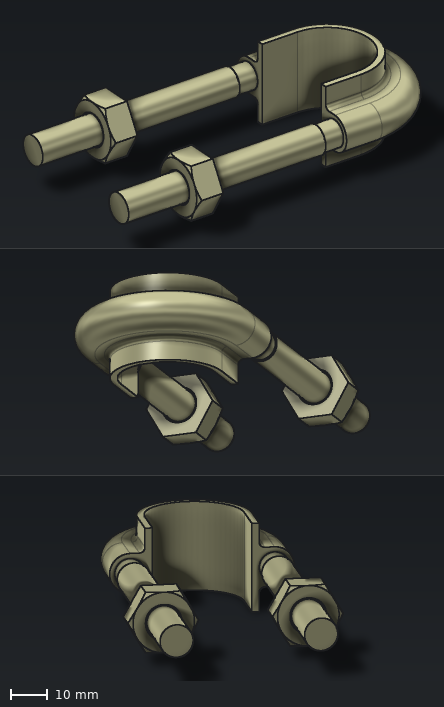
import cadquery as cq
import math

overall_length = 109.7
leg_spacing = 39.9
bend_radius = leg_spacing / 2

thread_diameter = 9.2
neck_diameter = 8.3
thread_length = 66.1

jacket_radius = 5.6
sleeve_end_y = 72.3
sleeve_height = 25.0
plate_outer_radius = 15.8
plate_thickness = 2.1
plate_inner_radius = plate_outer_radius - plate_thickness
jacket_fillet = 1.5
bend_center_y = overall_length - bend_radius - jacket_radius

nut_across_flats = 17.0
nut_across_corners = nut_across_flats / math.cos(math.radians(30))
nut_height = 8.0
nut_start_y = 20.0
nut_chamfer_angle = 30
nut_countersink = 0.4

leg_positions = (-leg_spacing / 2, leg_spacing / 2)


def cylinder_along_y(x, start_y, diameter, length):
    """Cylinder on a leg axis, running from start_y toward +Y."""
    return cq.Workplane(cq.Solid.makeCylinder(
        diameter / 2, length, cq.Vector(x, start_y, 0), cq.Vector(0, 1, 0)))


def sweep_around_bend(profile, start_y):
    """Carry a closed XZ wire at the left leg up, around the bend and down the right leg."""
    path = (
        cq.Workplane("XY")
        .moveTo(-bend_radius, start_y)
        .lineTo(-bend_radius, bend_center_y)
        .threePointArc((0, bend_center_y + bend_radius), (bend_radius, bend_center_y))
        .lineTo(bend_radius, start_y)
    )
    return profile.sweep(path)


def profile_plane(start_y):
    """XZ plane through Y = start_y, with the left leg axis as its origin."""
    return cq.Workplane("XZ", origin=(-bend_radius, start_y, 0))


def make_neck_core():
    """Slim part of the rod, inside the sleeve and just outside it."""
    return sweep_around_bend(profile_plane(thread_length).circle(neck_diameter / 2), thread_length)


def make_rod(neck_core):
    rod = neck_core
    for x in leg_positions:
        rod = rod.union(cylinder_along_y(x, 0, thread_diameter, thread_length))
    return rod


def make_sleeve(neck_core):
    """Plate and jacket swept as one section, hollowed for the rod."""
    plate_outside = bend_radius - plate_outer_radius
    plate_inside = bend_radius - plate_inner_radius
    half_height = sleeve_height / 2
    fillet_top = jacket_radius + jacket_fillet
    fillet_start = plate_outside - jacket_fillet
    fillet_mid_offset = jacket_fillet * math.sqrt(0.5)
    fillet_mid_x = fillet_start + fillet_mid_offset
    fillet_mid_z = fillet_top - fillet_mid_offset
    profile = (
        profile_plane(sleeve_end_y)
        .moveTo(plate_inside, -half_height)
        .lineTo(plate_inside, half_height)
        .lineTo(plate_outside, half_height)
        .lineTo(plate_outside, fillet_top)
        .threePointArc((fillet_mid_x, fillet_mid_z), (fillet_start, jacket_radius))
        .lineTo(0, jacket_radius)
        .threePointArc((-jacket_radius, 0), (0, -jacket_radius))
        .lineTo(fillet_start, -jacket_radius)
        .threePointArc((fillet_mid_x, -fillet_mid_z), (plate_outside, -fillet_top))
        .lineTo(plate_outside, -half_height)
        .close()
    )
    return sweep_around_bend(profile, sleeve_end_y).cut(neck_core)


def make_nut(x):
    """Hex nut with chamfered corners on its -Y face and countersunk bore ends."""
    nut_end_y = nut_start_y + nut_height
    corner_radius = nut_across_corners / 2
    flat_radius = nut_across_flats / 2
    chamfer_depth = (corner_radius - flat_radius) * math.tan(math.radians(nut_chamfer_angle))
    hexagon = (
        cq.Workplane("XZ", origin=(x, nut_end_y, 0))
        .polygon(6, nut_across_corners)
        .extrude(nut_height)
    )
    chamfered_envelope = (
        cylinder_along_y(x, nut_start_y, nut_across_corners, nut_height)
        .faces("<Y")
        .chamfer(chamfer_depth, corner_radius - flat_radius)
    )
    nut = hexagon.intersect(chamfered_envelope)
    nut = nut.cut(cylinder_along_y(x, nut_start_y, thread_diameter, nut_height))
    bore_rims = cq.selectors.RadiusNthSelector(0)
    return nut.faces("<Y or >Y").edges("%CIRCLE").edges(bore_rims).chamfer(nut_countersink)


neck_core = make_neck_core()
rod = make_rod(neck_core)
sleeve = make_sleeve(neck_core)
nuts = [make_nut(x) for x in leg_positions]

result = cq.Compound.makeCompound([rod.val(), sleeve.val(), *[nut.val() for nut in nuts]])